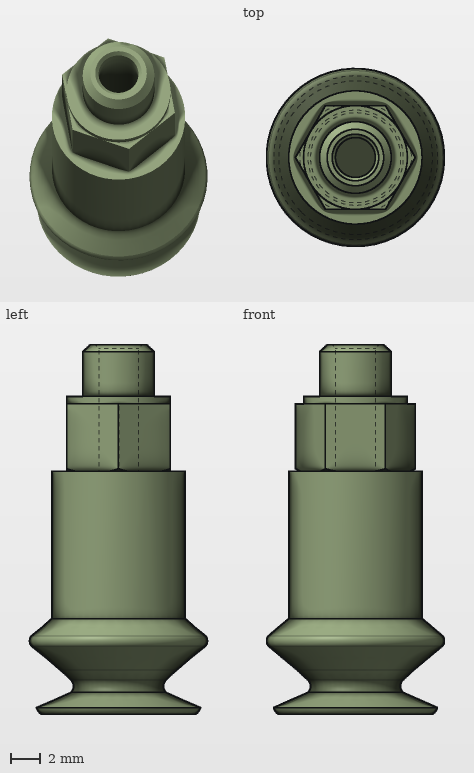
import cadquery as cq
import math

overall_height = 24.9
sleeve_diameter = 9.0
sleeve_bottom = 6.45
seat_height = 16.38

bellows_diameter = 12.0
rim_edge_radius = 5.88
rim_top = 5.28
rim_bottom = 4.6
fold_radius = 3.93
fold_height = 3.0

neck_radius = 3.05
neck_edge_radius = 3.2
neck_top = 2.32
neck_bottom = 1.47

lip_top_radius = 5.53
lip_bottom_radius = 5.18
lip_thickness = 0.45
lip_bulge = 0.07

hex_across_flats = 7.0
hex_top = 20.92
hex_chamfer_radius = 3.75
hex_chamfer_angle = 30.0
collar_top = 21.41
collar_diameter = hex_across_flats
stud_diameter = 4.83
stud_tip_diameter = 3.8
stud_chamfer_height = 0.47
bore_diameter = 2.7
bore_chamfer = 0.22


def make_suction_cup():
    """Revolve the bellows profile (radius, height) about the Z axis."""
    sleeve_radius = sleeve_diameter / 2
    rim_middle = (bellows_diameter / 2, (rim_top + rim_bottom) / 2)
    neck_middle = (neck_radius, (neck_top + neck_bottom) / 2)
    lip_middle = ((lip_top_radius + lip_bottom_radius) / 2 + lip_bulge, lip_thickness / 2)
    profile = (
        cq.Workplane("XZ")
        .lineTo(lip_bottom_radius, 0)
        .threePointArc(lip_middle, (lip_top_radius, lip_thickness))
        .lineTo(neck_edge_radius, neck_bottom)
        .threePointArc(neck_middle, (neck_edge_radius, neck_top))
        .lineTo(fold_radius, fold_height)
        .lineTo(rim_edge_radius, rim_bottom)
        .threePointArc(rim_middle, (rim_edge_radius, rim_top))
        .lineTo(sleeve_radius, sleeve_bottom)
        .lineTo(sleeve_radius, seat_height)
        .lineTo(0, seat_height)
        .close()
    )
    return profile.revolve(360, (0, 0, 0), (0, 1, 0))


def make_hexagon():
    """Hexagon with corners on X, its lower corners trimmed by a cone."""
    hex_height = hex_top - seat_height
    corner_radius = hex_across_flats / 2 / math.cos(math.pi / 6)
    prism = (
        cq.Workplane("XY", origin=(0, 0, seat_height))
        .polygon(6, 2 * corner_radius)
        .extrude(hex_height)
    )
    chamfer_height = (corner_radius - hex_chamfer_radius) * math.tan(math.radians(hex_chamfer_angle))
    envelope = (
        cq.Workplane("XZ")
        .moveTo(0, seat_height)
        .lineTo(hex_chamfer_radius, seat_height)
        .lineTo(corner_radius, seat_height + chamfer_height)
        .lineTo(corner_radius, hex_top)
        .lineTo(0, hex_top)
        .close()
        .revolve(360, (0, 0, 0), (0, 1, 0))
    )
    return prism.intersect(envelope)


def make_collar_and_stud():
    """Revolve the round collar and the stud with its chamfered tip."""
    return (
        cq.Workplane("XZ")
        .moveTo(0, hex_top)
        .lineTo(collar_diameter / 2, hex_top)
        .lineTo(collar_diameter / 2, collar_top)
        .lineTo(stud_diameter / 2, collar_top)
        .lineTo(stud_diameter / 2, overall_height - stud_chamfer_height)
        .lineTo(stud_tip_diameter / 2, overall_height)
        .lineTo(0, overall_height)
        .close()
        .revolve(360, (0, 0, 0), (0, 1, 0))
    )


def make_bore():
    """Bore through the fitting down to the seat, chamfered at its mouth."""
    bore_radius = bore_diameter / 2
    return (
        cq.Workplane("XZ")
        .moveTo(0, seat_height)
        .lineTo(bore_radius, seat_height)
        .lineTo(bore_radius, overall_height - bore_chamfer)
        .lineTo(bore_radius + bore_chamfer, overall_height)
        .lineTo(0, overall_height)
        .close()
        .revolve(360, (0, 0, 0), (0, 1, 0))
    )


def make_fitting():
    """Join hexagon, collar and stud, then cut the bore."""
    return make_hexagon().union(make_collar_and_stud()).cut(make_bore())


suction_cup = make_suction_cup()
fitting = make_fitting()

result = cq.Compound.makeCompound([suction_cup.val(), fitting.val()])